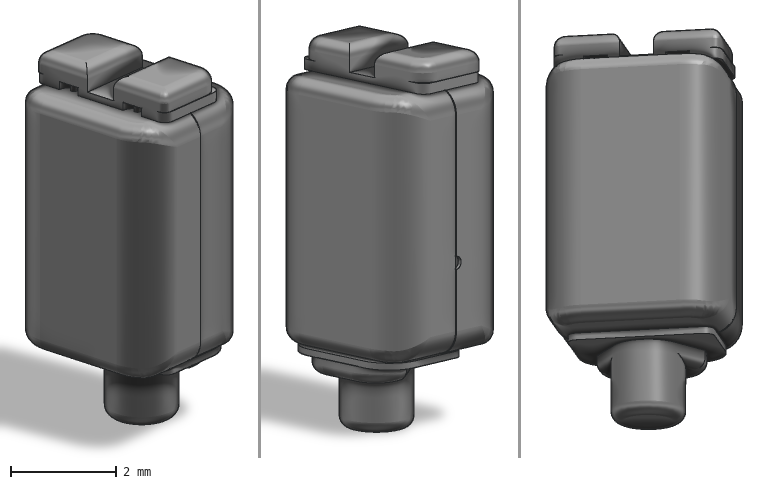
import cadquery as cq
import math

HOUSING_WIDTH = 3.53
HOUSING_DEPTH = 3.0
HOUSING_BOTTOM = 1.57
HOUSING_TOP = 6.77
SHELL_STEP = 0.026
UPRIGHT_RADIUS = 0.815
SIDE_RADIUS = 0.495
FACE_RADIUS = 0.28
VENT_RADIUS = 0.125
VENT_HEIGHT = 3.405
VENT_DEPTH = 0.075

STEM_RADIUS = 0.71
STEM_Y = 0.35
STEM_TIP_RADIUS = 0.22
FLANGE_WIDTH = 2.83
FLANGE_REAR = 1.45
FLANGE_FRONT = -0.56
FLANGE_BOTTOM = 1.435
FLANGE_REAR_RADIUS = 0.695
FLANGE_FRONT_RADIUS = 0.21
LUG_WIDTH = 2.09
LUG_REAR = 1.43
LUG_FRONT = -0.05
LUG_BOTTOM = 1.08
LUG_CORNER_RADIUS = 0.665
LUG_EDGE_RADIUS = 0.21

BLOCK_TOP = 7.4
BLOCK_REAR = 0.75
BLOCK_FRONT = -0.86
SLAB_WIDTH = 3.255
SLAB_TOP = 6.98
SLAB_CORNER_RADIUS = 0.2
BRIDGE_TOP = 6.905
GAP_WIDTH = 0.65
BUMP_WIDTH = 3.23
BUMP_TOP_RADIUS = 0.245
BUMP_REAR_RADIUS = 0.385
BUMP_FRONT_RADIUS = 0.13
POCKET_X = 0.79
POCKET_RADIUS = 0.23
POCKET_HEIGHT = 0.16
PIN_RADIUS = 0.07
PIN_HEIGHT = 0.13
PIN_Y = BLOCK_FRONT + 0.155
PIN_ROOT = 0.075


def box(width, front, rear, bottom, top):
    """A block centred on X, given by its ends along Y and Z."""
    block = cq.Workplane("XY").box(width, rear - front, top - bottom, centered=(True, False, False))
    return block.translate((0, front, bottom))


def post(x, y, radius, bottom, top):
    """An upright cylinder."""
    return cq.Workplane("XY", origin=(x, y, bottom)).circle(radius).extrude(top - bottom)


def rounded_shell(inset):
    """The full rounded housing shape, drawn in at each side by the inset."""
    half_depth = HOUSING_DEPTH / 2
    blank = (HOUSING_WIDTH - 2 * inset, -half_depth, half_depth, HOUSING_BOTTOM, HOUSING_TOP)
    plan = box(*blank).edges("|Z").fillet(UPRIGHT_RADIUS)
    front_outline = box(*blank).edges("|Y").fillet(SIDE_RADIUS)
    return plan.intersect(front_outline).edges("|X").fillet(FACE_RADIUS)


def front_space():
    """All the space in front of the plane Y = 0."""
    return box(2 * HOUSING_WIDTH, -HOUSING_DEPTH, 0, 0, BLOCK_TOP)


def vent():
    """Half-round notch in the left side of the front half, along the joint between the halves."""
    bore = cq.Workplane("YZ", origin=(-HOUSING_WIDTH / 2, 0, VENT_HEIGHT)).circle(VENT_RADIUS).extrude(VENT_DEPTH)
    return bore.intersect(front_space())


def flange():
    """Plate under the housing, with wide rear corners."""
    plate = box(FLANGE_WIDTH, FLANGE_FRONT, FLANGE_REAR, FLANGE_BOTTOM, HOUSING_BOTTOM)
    plate = plate.edges("|Z and >Y").fillet(FLANGE_REAR_RADIUS)
    return plate.edges("|Z and <Y").fillet(FLANGE_FRONT_RADIUS)


def lug():
    """Block behind the stem whose front flanks run tangent to the stem."""
    half_width = LUG_WIDTH / 2
    front_x = math.sqrt(STEM_RADIUS**2 - (STEM_Y - LUG_FRONT) ** 2)
    flank_slope = front_x / (STEM_Y - LUG_FRONT)
    side_y = LUG_FRONT + (half_width - front_x) * flank_slope
    block = (
        cq.Workplane("XY", origin=(0, 0, LUG_BOTTOM))
        .moveTo(-front_x, LUG_FRONT)
        .lineTo(front_x, LUG_FRONT)
        .lineTo(half_width, side_y)
        .lineTo(half_width, LUG_REAR)
        .lineTo(-half_width, LUG_REAR)
        .lineTo(-half_width, side_y)
        .close()
        .extrude(FLANGE_BOTTOM - LUG_BOTTOM)
    )
    block = block.edges("|Z and >Y").fillet(LUG_CORNER_RADIUS)
    return block.faces("<Z").edges("not <Y").fillet(LUG_EDGE_RADIUS)


def stem():
    """Round spout with a rounded tip."""
    return post(0, STEM_Y, STEM_RADIUS, 0, FLANGE_BOTTOM).faces("<Z").edges().fillet(STEM_TIP_RADIUS)


def make_housing():
    """Stepped shell with its spout below and two contact pins on top."""
    front_half = rounded_shell(0).intersect(front_space()).cut(vent())
    rear_half = rounded_shell(SHELL_STEP).cut(front_space())
    body = front_half.union(rear_half).union(flange()).union(lug()).union(stem())
    for x in (-POCKET_X, POCKET_X):
        body = body.union(post(x, PIN_Y, PIN_RADIUS, HOUSING_TOP - PIN_ROOT, HOUSING_TOP + PIN_HEIGHT))
    return body


def bump(side):
    """Raised pad on one side of the terminal block, rounded along its top and outer corners."""
    width = (BUMP_WIDTH - GAP_WIDTH) / 2
    center_x = (BUMP_WIDTH + GAP_WIDTH) / 4
    body = box(width, BLOCK_FRONT, BLOCK_REAR, SLAB_TOP, BLOCK_TOP).translate((center_x, 0, 0))
    body = body.edges("|Z and >Y and >X").fillet(BUMP_REAR_RADIUS)
    body = body.faces(">Z").edges().fillet(BUMP_TOP_RADIUS)
    body = body.edges("|Z and <Y and >X").fillet(BUMP_FRONT_RADIUS)
    if side < 0:
        body = body.mirror("YZ")
    return body


def make_terminal_block():
    """Slab with two pads, and a half-round pocket under each pad that clears a pin."""
    slab = box(SLAB_WIDTH, BLOCK_FRONT, BLOCK_REAR, HOUSING_TOP, SLAB_TOP)
    slab = slab.edges("|Z").fillet(SLAB_CORNER_RADIUS)
    slab = slab.cut(box(GAP_WIDTH, BLOCK_FRONT, BLOCK_REAR, BRIDGE_TOP, SLAB_TOP))
    block = slab.union(bump(-1)).union(bump(1))
    for x in (-POCKET_X, POCKET_X):
        block = block.cut(post(x, BLOCK_FRONT, POCKET_RADIUS, HOUSING_TOP, HOUSING_TOP + POCKET_HEIGHT))
    return block


housing = make_housing()
terminal_block = make_terminal_block()
result = cq.Compound.makeCompound([housing.val(), terminal_block.val()])